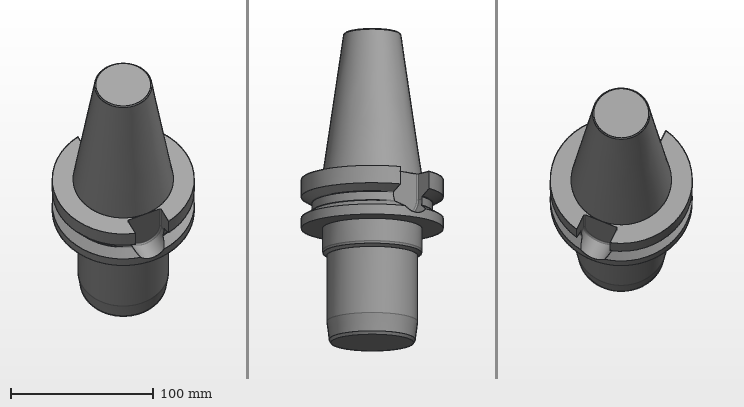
import cadquery as cq
import math


gauge_diameter = 69.85
taper_length = 101.8
taper_rate = 7 / 24
taper_top_chamfer = 0.75

flange_diameter = 100.0
flange_top_z = -3.0
flange_bottom_z = -38.0
groove_floor_diameter = 85.0
groove_floor_height = 6.6
groove_root_fillet = 0.5
groove_centre_z = -23.1
groove_flank_angle = 30.0
lip_radius = flange_diameter / 2

collar_diameter = 70.25
collar_bottom_z = -54.0
collar_edge_height = 1.7
collar_edge_angle = 15.0
shoulder_height = 1.8
body_diameter = 64.0
nose_bottom_z = -120.0
nose_taper_height = 15.0
nose_tip_diameter = 60.7
nose_edge_height = 2.2
nose_edge_angle = 30.0

slot_width = 25.7
slot_floor_x = 35.4
slot_depth = 31.5
slot_floor_fillet = 1.0


def turned_body():
    """Revolve the half profile of the whole holder."""
    gauge_r = gauge_diameter / 2
    top_r = gauge_r - taper_length * taper_rate / 2
    collar_r = collar_diameter / 2
    body_r = body_diameter / 2
    tip_r = nose_tip_diameter / 2
    groove_r = groove_floor_diameter / 2

    chamfer_start_r = top_r + taper_top_chamfer * taper_rate / 2
    flank_height = (lip_radius - groove_r) * math.tan(math.radians(groove_flank_angle))
    floor_top_z = groove_centre_z + groove_floor_height / 2
    floor_bottom_z = groove_centre_z - groove_floor_height / 2
    shank_base_r = gauge_r - flange_top_z * taper_rate / 2
    collar_edge_r = collar_r - collar_edge_height * math.tan(math.radians(collar_edge_angle))
    collar_edge_z = collar_bottom_z - collar_edge_height
    nose_edge_z = nose_bottom_z + nose_edge_height
    nose_end_r = tip_r - nose_edge_height * math.tan(math.radians(nose_edge_angle))

    profile = [
        (0, taper_length),
        (top_r - taper_top_chamfer, taper_length),
        (chamfer_start_r, taper_length - taper_top_chamfer),
        (shank_base_r, flange_top_z),
        (lip_radius, flange_top_z),
        (lip_radius, floor_top_z + flank_height),
        (groove_r, floor_top_z),
        (groove_r, floor_bottom_z),
        (lip_radius, floor_bottom_z - flank_height),
        (lip_radius, flange_bottom_z),
        (collar_r, flange_bottom_z),
        (collar_r, collar_bottom_z),
        (collar_edge_r, collar_edge_z),
        (body_r, collar_edge_z - shoulder_height),
        (body_r, nose_bottom_z + nose_taper_height),
        (tip_r, nose_edge_z),
        (nose_end_r, nose_bottom_z),
        (0, nose_bottom_z),
    ]
    turned = cq.Workplane("XZ").polyline(profile).close().revolve(360, (0, 0, 0), (0, 1, 0))
    groove_zone = cq.selectors.BoxSelector(
        (-lip_radius, -lip_radius, floor_bottom_z - groove_root_fillet),
        (lip_radius, lip_radius, floor_top_z + groove_root_fillet),
    )
    return turned.edges("%CIRCLE").edges(groove_zone).fillet(groove_root_fillet)


def slot_cutter():
    """U-shaped drive slot on the +X side, open at the top, with a filleted floor edge."""
    half_width = slot_width / 2
    slot_bottom_z = flange_top_z - slot_depth
    arc_centre_z = slot_bottom_z + half_width
    open_z = flange_top_z + slot_floor_fillet
    cutter_length = lip_radius - slot_floor_x + slot_floor_fillet
    return (
        cq.Workplane("YZ", origin=(slot_floor_x, 0, 0))
        .moveTo(-half_width, open_z)
        .lineTo(-half_width, arc_centre_z)
        .threePointArc((0, slot_bottom_z), (half_width, arc_centre_z))
        .lineTo(half_width, open_z)
        .close()
        .extrude(cutter_length)
        .edges("<X and (not |Y)")
        .fillet(slot_floor_fillet)
    )


result = turned_body()
for slot_angle in (0, 180):
    result = result.cut(slot_cutter().rotate((0, 0, 0), (0, 0, 1), slot_angle))